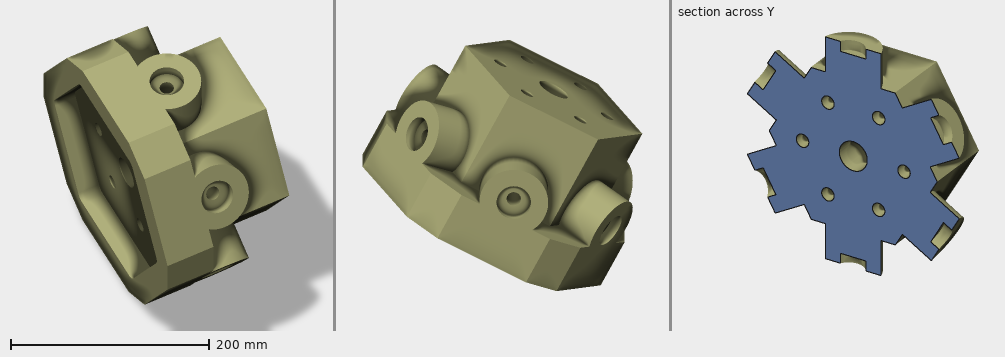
import cadquery as cq
import math

SIDES = 6
STEP_ANGLE = 360 / SIDES
FLAT_TO_CORNER = 1 / math.cos(math.pi / SIDES)

block_flat = 87.5
block_corner = block_flat * FLAT_TO_CORNER
total_depth = 156.5

flange_flat = 127.5
flange_depth = total_depth / 3

pocket_flat = 98.5
pocket_depth = 23.5
pocket_corner_radius = 10.0

bore_diameter = 32.8
bolt_hole_diameter = 14.5
bolt_circle_radius = 60.8

boss_radius = flange_depth * 2 / 3
counterbore_radius = boss_radius / 2
counterbore_depth = 11.5
cross_hole_diameter = 14.5
boss_root = block_flat / 2
boss_y = flange_depth + counterbore_radius


def back_from(y):
    """XZ workplane at the given Y; positive extrusion runs toward -Y."""
    return cq.Workplane("XZ", origin=(0, y, 0))


def hexagon(y, flat):
    return back_from(y).polygon(SIDES, 2 * flat * FLAT_TO_CORNER)


def flange_outline():
    """Ends of six flats, each as long as a block side, joined across the corners."""
    half_flat = block_corner / 2
    radius = math.hypot(flange_flat, half_flat)
    spread = math.degrees(math.atan2(half_flat, flange_flat))
    points = []
    for i in range(SIDES):
        middle = 90 + i * STEP_ANGLE
        for angle in (middle - spread, middle + spread):
            turn = math.radians(angle)
            points.append((radius * math.cos(turn), radius * math.sin(turn)))
    return points


def radial_cylinder(index, radius, inner, outer):
    """Cylinder about a line square to one block face, between two distances from the axis."""
    cylinder = cq.Workplane("XY", origin=(0, boss_y, inner)).circle(radius).extrude(outer - inner)
    return cylinder.rotate((0, 0, 0), (0, 1, 0), index * STEP_ANGLE)


body = hexagon(total_depth, block_flat).extrude(total_depth)
flange = back_from(flange_depth).polyline(flange_outline()).close().extrude(flange_depth)
body = body.union(flange)

for i in range(SIDES):
    body = body.union(radial_cylinder(i, boss_radius, boss_root, flange_flat))

pocket = hexagon(pocket_depth, pocket_flat).extrude(pocket_depth)
body = body.cut(pocket.edges("|Y").fillet(pocket_corner_radius))

body = body.cut(back_from(total_depth).circle(bore_diameter / 2).extrude(total_depth))
bolt_holes = (
    back_from(total_depth)
    .polarArray(bolt_circle_radius, 0, 360, SIDES)
    .circle(bolt_hole_diameter / 2)
    .extrude(total_depth)
)
body = body.cut(bolt_holes)

for i in range(SIDES):
    body = body.cut(radial_cylinder(i, cross_hole_diameter / 2, 0, flange_flat))
    body = body.cut(radial_cylinder(i, counterbore_radius, flange_flat - counterbore_depth, flange_flat))

result = body